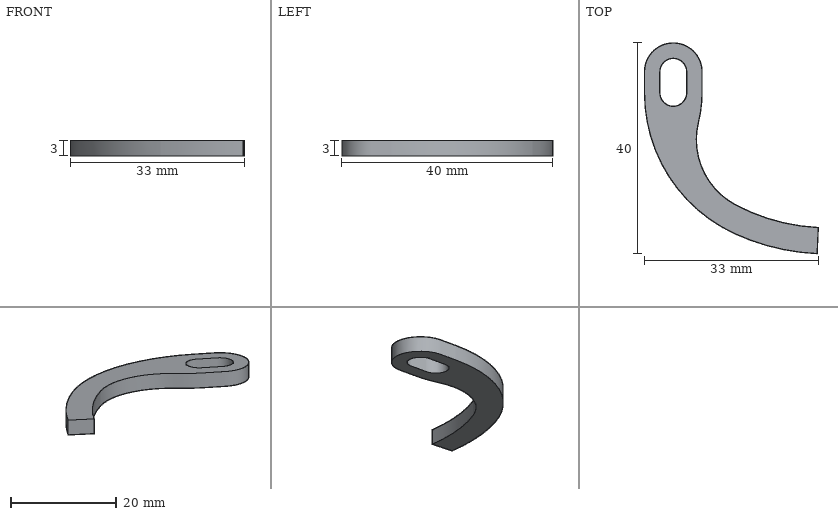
import cadquery as cq
import math

thickness = 3.0
head_radius = 5.5
slot_radius = 2.5
slot_travel = 4.0
outer_bend_radius = 29.4
outer_tail_radius = 42.0
tail_width = 5.0
inner_bend_radius = 14.0
neck_radius = 22.8
tail_joint_angle = math.radians(24.7)
reach = 27.5


def on_circle(center, radius, angle):
    """Point on a circle, its angle measured from -Y towards -X."""
    return (center[0] - radius * math.sin(angle), center[1] - radius * math.cos(angle))


def angle_to(center, point):
    """Angle of a point about a center, from -Y towards -X."""
    return math.atan2(center[0] - point[0], center[1] - point[1])


inner_tail_radius = outer_tail_radius - tail_width
outer_bend_center = (outer_bend_radius - head_radius, 0)
tail_center = on_circle(outer_bend_center, outer_bend_radius - outer_tail_radius, tail_joint_angle)
tip_angle = math.asin((tail_center[0] - reach) / inner_tail_radius)

neck_center = (head_radius - neck_radius, 0)
neck_distance = neck_radius + inner_bend_radius
tail_distance = inner_tail_radius - inner_bend_radius
center_distance = math.dist(neck_center, tail_center)
corner_cosine = (tail_distance**2 + center_distance**2 - neck_distance**2) / (
    2 * tail_distance * center_distance
)
inner_joint_angle = angle_to(tail_center, neck_center) - math.acos(corner_cosine)
inner_bend_center = on_circle(tail_center, tail_distance, inner_joint_angle)
neck_joint_angle = angle_to(inner_bend_center, neck_center)


def arc_points(center, radius, start, end):
    """Middle and end points of an arc."""
    return on_circle(center, radius, (start + end) / 2), on_circle(center, radius, end)


def make_arm():
    neck_start = -math.pi / 2
    neck_end = neck_joint_angle - math.pi
    return (
        cq.Workplane("XY")
        .moveTo(head_radius, 0)
        .lineTo(head_radius, slot_travel)
        .threePointArc((0, slot_travel + head_radius), (-head_radius, slot_travel))
        .lineTo(-head_radius, 0)
        .threePointArc(*arc_points(outer_bend_center, outer_bend_radius, math.pi / 2, tail_joint_angle))
        .threePointArc(*arc_points(tail_center, outer_tail_radius, tail_joint_angle, tip_angle))
        .lineTo(*on_circle(tail_center, inner_tail_radius, tip_angle))
        .threePointArc(*arc_points(tail_center, inner_tail_radius, tip_angle, inner_joint_angle))
        .threePointArc(
            *arc_points(inner_bend_center, inner_bend_radius, inner_joint_angle, neck_joint_angle)
        )
        .threePointArc(*arc_points(neck_center, neck_radius, neck_end, neck_start))
        .close()
        .extrude(thickness)
    )


def make_slot():
    return (
        cq.Workplane("XY")
        .center(0, slot_travel / 2)
        .slot2D(slot_travel + 2 * slot_radius, 2 * slot_radius, 90)
        .extrude(thickness)
    )


result = make_arm().cut(make_slot())